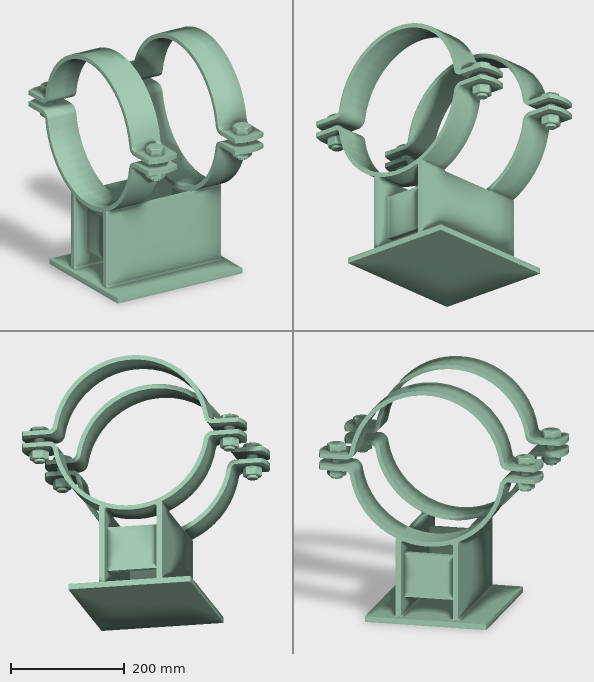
import cadquery as cq
import math

total_height = 424.5
total_width = 402.0
base_length = 260.0
base_width = 220.0
base_thickness = 10.0

upright_length = 240.3
upright_thickness = 9.8
upright_spacing = 103.5
upright_top = 150.3
cross_thickness = 10.0
cross_height = 80.0
cross_clearance = 30.0
cross_inset = 26.7
weld_leg = 3.0
clamp_weld_slope_run = 1.0

strap_thickness = 8.0
strap_width = 60.0
ring_outer_radius = 141.5
ear_gap = 13.5
ear_bend_radius = 8.0
ear_end_sagitta = 7.2

bolt_spacing = 342.0
shank_diameter = 20.0
shank_tip_diameter = 18.5
shank_tip_chamfer = 1.0
shank_protrusion = 4.2
hex_across_flats = 30.0
hex_face_diameter = 28.5
hex_chamfer_angle = 30.0
head_height = 12.5
nut_height = 16.0

ring_inner_radius = ring_outer_radius - strap_thickness
ring_z = total_height - ring_outer_radius
clamp_y = (upright_length - strap_width) / 2
cross_y = (upright_length - cross_thickness) / 2 - cross_inset
ear_inner_z = ear_gap / 2
ear_outer_z = ear_inner_z + strap_thickness
upright_inner_x = (upright_spacing - upright_thickness) / 2
upright_outer_x = upright_inner_x + upright_thickness


def arc_point(center, radius, degrees):
    """Point on a circle at the given angle."""
    angle = math.radians(degrees)
    return center[0] + radius * math.cos(angle), center[1] + radius * math.sin(angle)


def y_prism(points, length, center_y):
    """Extrude a closed XZ outline along Y, centred on center_y."""
    outline = cq.Workplane("XZ", origin=(0, center_y, 0)).polyline(points).close()
    return outline.extrude(length / 2, both=True)


def upper_strap():
    """Upper half of a clamp, centred on the pipe axis: a half ring bent outwards into two flat ears."""
    bend_z = ear_outer_z + ear_bend_radius
    bend_x = math.sqrt((ring_outer_radius + ear_bend_radius) ** 2 - bend_z**2)
    bend_center = (bend_x, bend_z)
    bend_outer_radius = ear_bend_radius + strap_thickness
    ring_angle = math.degrees(math.atan2(bend_z, bend_x))
    bend_start = 180 + ring_angle
    bend_middle = (bend_start + 270) / 2
    ear_end = total_width / 2

    def mirrored(point):
        return -point[0], point[1]

    top_tangent = arc_point(bend_center, ear_bend_radius, bend_start)
    top_middle = arc_point(bend_center, ear_bend_radius, bend_middle)
    under_tangent = arc_point(bend_center, bend_outer_radius, bend_start)
    under_middle = arc_point(bend_center, bend_outer_radius, bend_middle)
    profile = (
        cq.Workplane("XZ")
        .moveTo(ear_end, ear_inner_z)
        .lineTo(ear_end, ear_outer_z)
        .lineTo(bend_x, ear_outer_z)
        .threePointArc(top_middle, top_tangent)
        .threePointArc((0, ring_outer_radius), mirrored(top_tangent))
        .threePointArc(mirrored(top_middle), (-bend_x, ear_outer_z))
        .lineTo(-ear_end, ear_outer_z)
        .lineTo(-ear_end, ear_inner_z)
        .lineTo(-bend_x, ear_inner_z)
        .threePointArc(mirrored(under_middle), mirrored(under_tangent))
        .threePointArc((0, ring_inner_radius), under_tangent)
        .threePointArc(under_middle, (bend_x, ear_inner_z))
        .close()
    )
    strap = profile.extrude(strap_width / 2, both=True)

    shoulder_x = ear_end - ear_end_sagitta
    plan = (
        cq.Workplane("XY")
        .moveTo(-shoulder_x, -strap_width / 2)
        .lineTo(shoulder_x, -strap_width / 2)
        .threePointArc((ear_end, 0), (shoulder_x, strap_width / 2))
        .lineTo(-shoulder_x, strap_width / 2)
        .threePointArc((-ear_end, 0), (-shoulder_x, -strap_width / 2))
        .close()
        .extrude(ring_outer_radius)
    )
    return strap.intersect(plan)


def hexagon(height, chamfer_bottom):
    """Hexagonal block standing on z = 0 with its corners turned down at the top, or at both ends."""
    corner_radius = hex_across_flats / math.sqrt(3)
    face_radius = hex_face_diameter / 2
    drop = (corner_radius - face_radius) * math.tan(math.radians(hex_chamfer_angle))
    turned = cq.Workplane("XY").circle(corner_radius).extrude(height)
    rims = "|Z" if chamfer_bottom else ">Z"
    turned = turned.faces(rims).chamfer(drop, corner_radius - face_radius)
    return cq.Workplane("XY").polygon(6, 2 * corner_radius).extrude(height).intersect(turned)


def bolt():
    """Vertical bolt with its head above the ears and its nut below, centred between the ears."""
    head = hexagon(head_height, False).translate((0, 0, ear_outer_z))
    nut = hexagon(nut_height, True).translate((0, 0, -ear_outer_z - nut_height))
    shank_length = 2 * ear_outer_z + nut_height + shank_protrusion
    shank = (
        cq.Workplane("XY", origin=(0, 0, ear_outer_z))
        .circle(shank_diameter / 2)
        .extrude(-shank_length)
        .faces("<Z")
        .chamfer(shank_tip_chamfer, (shank_diameter - shank_tip_diameter) / 2)
    )
    return head.union(shank).union(nut)


def clamp():
    """Both straps with their two bolts, centred on the pipe axis."""
    upper = upper_strap()
    body = upper.union(upper.mirror("XY"))
    for side in (-1, 1):
        body = body.union(bolt().translate((side * bolt_spacing / 2, 0, 0)))
    return body


def upright():
    """Right-hand side plate with a weld along both sides of its foot."""
    height = upright_top - base_thickness
    plate = cq.Workplane("XY").box(upright_thickness, upright_length, height, centered=(False, True, False))
    plate = plate.translate((upright_inner_x, 0, base_thickness))
    foot_weld = [
        (upright_inner_x - weld_leg, base_thickness),
        (upright_outer_x + weld_leg, base_thickness),
        (upright_outer_x, base_thickness + weld_leg),
        (upright_inner_x, base_thickness + weld_leg),
    ]
    return plate.union(y_prism(foot_weld, upright_length, 0))


def clamp_weld(center_y):
    """Weld joining the right-hand side plate to a clamp, filling both corners beside the plate top."""
    mid_radius = ring_outer_radius - strap_thickness / 2

    def ring_height(x, radius):
        return ring_z - math.sqrt(radius**2 - x**2)

    outer_x = upright_outer_x - clamp_weld_slope_run
    inner_x = upright_inner_x - weld_leg
    section = [
        (upright_inner_x, ring_height(upright_inner_x, ring_outer_radius) - weld_leg),
        (upright_outer_x, upright_top),
        (outer_x, ring_height(outer_x, ring_outer_radius)),
        (upright_inner_x, ring_height(upright_inner_x, mid_radius)),
        (inner_x, ring_height(inner_x, ring_outer_radius)),
    ]
    return y_prism(section, strap_width, center_y)


def cross_plate():
    """Cross plate between the side plates, with upright welds in the corners of both faces."""
    y = cross_thickness / 2
    x = upright_inner_x
    outline = [(x, y + weld_leg), (x - weld_leg, y)]
    outline += [(-px, py) for px, py in reversed(outline)]
    outline += [(px, -py) for px, py in reversed(outline)]
    plate = cq.Workplane("XY").polyline(outline).close().extrude(cross_height)
    return plate.translate((0, 0, base_thickness + cross_clearance))


result = cq.Workplane("XY").box(base_width, base_length, base_thickness, centered=(True, True, False))
right_upright = upright()
result = result.union(right_upright).union(right_upright.mirror("YZ"))
for side in (-1, 1):
    y = side * clamp_y
    weld = clamp_weld(y)
    result = result.union(cross_plate().translate((0, side * cross_y, 0)))
    result = result.union(clamp().translate((0, y, ring_z)))
    result = result.union(weld).union(weld.mirror("YZ"))